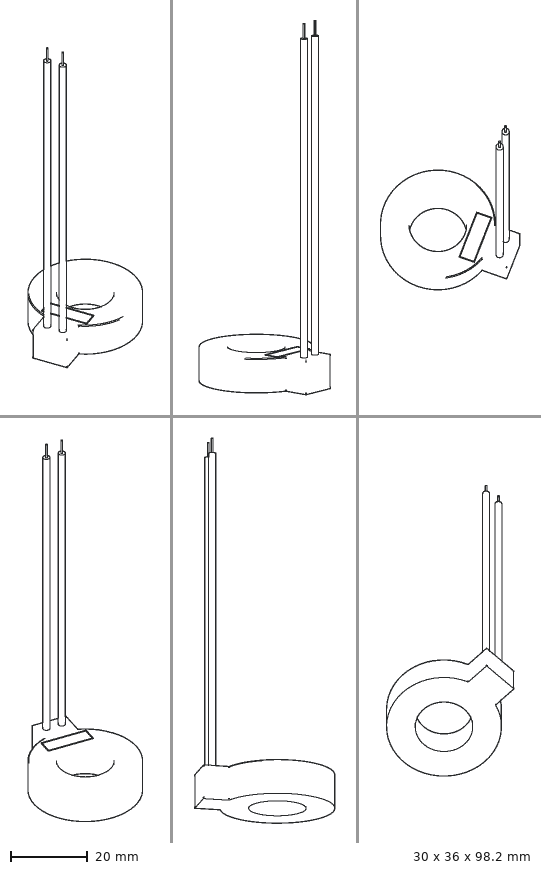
import cadquery as cq
import math

ring_radius = 15.0
bore_radius = 7.5
body_height = 9.2
top_round = 0.25

tab_width = 10.0
tab_reach = 21.0

corner_round = 0.25
junction_round = 0.25
band_height = 0.4

label_length = 13.2
label_width = 4.25
label_center_y = -10.45
frame_line = 0.2
frame_depth = 0.1

wire_spacing = 4.5
wire_center_y = -18.0
insulation_diameter = 1.9
insulation_length = 85.0
core_diameter = 0.5
core_exposed = 4.0


def make_outline_slab(bottom, height):
    """Ring disc joined to the tab, with square corners."""
    plane = cq.Workplane("XY", origin=(0, 0, bottom))
    disc = plane.circle(ring_radius).extrude(height)
    tab = plane.center(0, -tab_reach / 2).rect(tab_width, tab_reach).extrude(height)
    return disc.union(tab)


def make_middle():
    """Slab between the end bands with all four upright tab corners rounded."""
    height = body_height - 2 * band_height
    middle = make_outline_slab(band_height, height)
    middle = middle.edges("|Z and <Y").fillet(corner_round)
    junction_y = -math.sqrt(ring_radius**2 - (tab_width / 2) ** 2)
    for side in (-1, 1):
        junction = (side * tab_width / 2, junction_y, body_height / 2)
        middle = middle.edges(cq.selectors.NearestToPointSelector(junction)).fillet(junction_round)
    return middle


def make_body():
    base_band = make_outline_slab(0, band_height)
    top_band = make_outline_slab(body_height - band_height, band_height)
    body = base_band.union(make_middle()).union(top_band)
    bore = cq.Workplane("XY").circle(bore_radius).extrude(body_height)
    return body.cut(bore).faces(">Z").edges().fillet(top_round)


def make_label_frame():
    return (
        cq.Workplane("XY", origin=(0, label_center_y, body_height - frame_depth))
        .rect(label_length, label_width)
        .rect(label_length - 2 * frame_line, label_width - 2 * frame_line)
        .extrude(frame_depth)
    )


def make_wire(x):
    insulation = (
        cq.Workplane("XY", origin=(x, wire_center_y, body_height))
        .circle(insulation_diameter / 2)
        .extrude(insulation_length)
    )
    return insulation.faces(">Z").workplane().circle(core_diameter / 2).extrude(core_exposed)


result = make_body().cut(make_label_frame())
for wire_x in (-wire_spacing / 2, wire_spacing / 2):
    result = result.union(make_wire(wire_x))